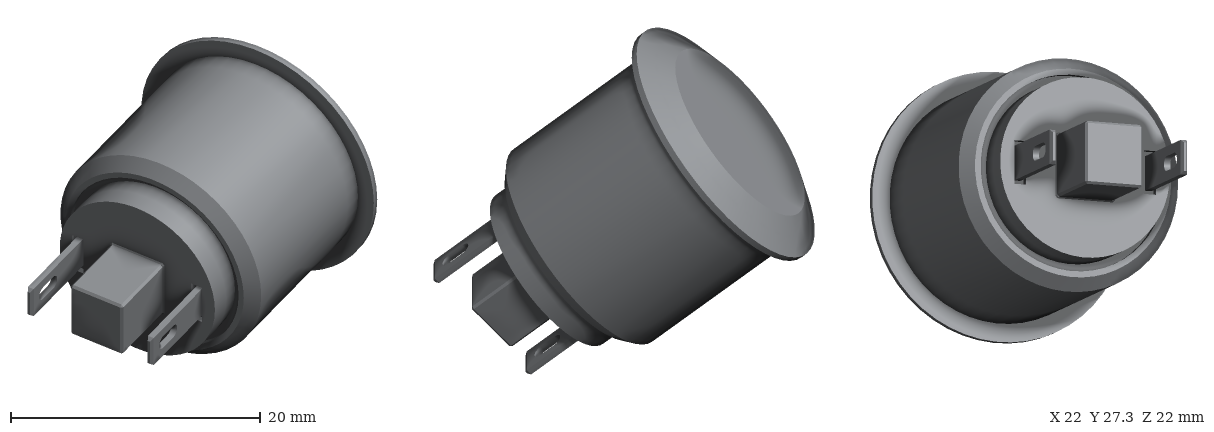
import cadquery as cq

FRONT_Y = 13.65

FLANGE_DIAMETER = 22.0
FLANGE_FACE_DIAMETER = 16.0
FLANGE_HEIGHT = 2.02
RIM_THICKNESS = 0.52
BARREL_DIAMETER = 19.0
HOUSING_LENGTH = 17.53
REAR_CHAMFER = 1.0
BORE_DIAMETER = 16.0
GAP_DEPTH = 0.5

PLUG_DIAMETER = 14.7
PLUG_REAR = 20.05

BLOCK_WIDTH = 4.95
BLOCK_HEIGHT = 5.13
BLOCK_REAR = 26.2
BLOCK_CHAMFER = 0.2
FOOT_FLARE = 0.1

TERMINAL_OFFSET = 5.68
TERMINAL_THICKNESS = 0.55
TERMINAL_WIDTH = 2.8
TERMINAL_REAR = 27.3
TIP_LENGTH = 0.3
TIP_SIDE_BEVEL = 0.25
TIP_FACE_BEVEL = 0.16
EYE_LENGTH = 2.7
EYE_WIDTH = 1.2
EYE_FROM_TIP = 2.45
POCKET_OFFSET = 5.62
POCKET_THICKNESS = 1.0
POCKET_WIDTH = 3.55
POCKET_DEPTH = 0.5

SEAT_DEPTH = HOUSING_LENGTH - GAP_DEPTH
BORE_FLOOR = FLANGE_HEIGHT


def at_depth(depth):
    """Plane facing the rear (-Y), with local x along X and local y along Z."""
    return cq.Workplane("XZ", origin=(0, FRONT_Y - depth, 0))


def cylinder(diameter, start, end):
    return at_depth(start).circle(diameter / 2).extrude(end - start)


def box(width, height, start, end):
    return at_depth(start).rect(width, height).extrude(end - start)


def make_housing():
    cone_height = FLANGE_HEIGHT - RIM_THICKNESS
    cone = (
        at_depth(0).circle(FLANGE_FACE_DIAMETER / 2)
        .workplane(offset=cone_height).circle(FLANGE_DIAMETER / 2)
        .loft(ruled=True)
    )
    rim = cylinder(FLANGE_DIAMETER, cone_height, FLANGE_HEIGHT)
    barrel = cylinder(BARREL_DIAMETER, FLANGE_HEIGHT, HOUSING_LENGTH).faces("<Y").chamfer(REAR_CHAMFER)
    bore = cylinder(BORE_DIAMETER, BORE_FLOOR, HOUSING_LENGTH)
    return cone.union(rim).union(barrel).cut(bore)


def make_block():
    block = box(BLOCK_WIDTH, BLOCK_HEIGHT, PLUG_REAR, BLOCK_REAR)
    block = block.edges("|Y or <Y").chamfer(BLOCK_CHAMFER)
    foot_width = BLOCK_WIDTH + 2 * FOOT_FLARE
    foot_height = BLOCK_HEIGHT + 2 * FOOT_FLARE
    foot = box(foot_width, foot_height, PLUG_REAR - FOOT_FLARE, PLUG_REAR + FOOT_FLARE)
    foot = foot.edges("|Y").chamfer(BLOCK_CHAMFER).faces("<Y").chamfer(FOOT_FLARE)
    return block.union(foot)


def make_terminal():
    """Terminal centred on the Y axis, with a bevelled tip and an oblong eye."""
    tip_start = TERMINAL_REAR - TIP_LENGTH
    blade = box(TERMINAL_THICKNESS, TERMINAL_WIDTH, PLUG_REAR - POCKET_DEPTH, tip_start)
    tip = (
        at_depth(tip_start).rect(TERMINAL_THICKNESS, TERMINAL_WIDTH)
        .workplane(offset=TIP_LENGTH)
        .rect(TERMINAL_THICKNESS - 2 * TIP_FACE_BEVEL, TERMINAL_WIDTH - 2 * TIP_SIDE_BEVEL)
        .loft(ruled=True)
    )
    eye = (
        cq.Workplane("YZ")
        .center(FRONT_Y - TERMINAL_REAR + EYE_FROM_TIP, 0)
        .slot2D(EYE_LENGTH, EYE_WIDTH)
        .extrude(TERMINAL_THICKNESS, both=True)
    )
    return blade.union(tip).cut(eye)


def make_insert():
    collar = cylinder(BORE_DIAMETER, BORE_FLOOR, SEAT_DEPTH)
    plug = cylinder(PLUG_DIAMETER, SEAT_DEPTH, PLUG_REAR)
    insert = collar.union(plug).union(make_block())
    pocket = box(POCKET_THICKNESS, POCKET_WIDTH, PLUG_REAR - POCKET_DEPTH, PLUG_REAR)
    terminal = make_terminal()
    for side in (-1, 1):
        insert = insert.cut(pocket.translate((side * POCKET_OFFSET, 0, 0)))
        insert = insert.union(terminal.translate((side * TERMINAL_OFFSET, 0, 0)))
    return insert


housing = make_housing()
insert = make_insert()
result = cq.Compound.makeCompound([housing.val(), insert.val()])